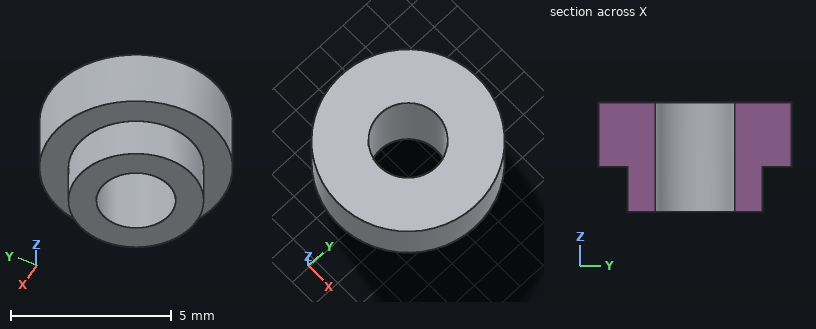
import cadquery as cq

head_diameter = 6.0
head_height = 2.0
spigot_diameter = 4.2
spigot_height = 1.4
bore_diameter = 2.46

total_height = spigot_height + head_height


def make_spigot():
    """Narrow lower cylinder, standing on Z = 0."""
    return cq.Workplane("XY").circle(spigot_diameter / 2).extrude(spigot_height)


def make_head():
    """Wide upper cylinder, seated on top of the spigot."""
    return (
        cq.Workplane("XY")
        .workplane(offset=spigot_height)
        .circle(head_diameter / 2)
        .extrude(head_height)
    )


def make_bore():
    """Through hole along the bushing axis."""
    return cq.Workplane("XY").circle(bore_diameter / 2).extrude(total_height)


result = make_spigot().union(make_head()).cut(make_bore())